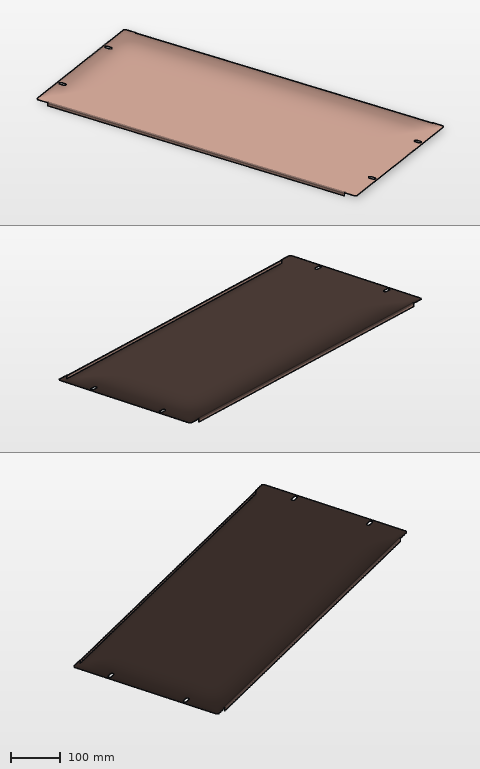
import cadquery as cq

PANEL_LENGTH = 760.0
PANEL_WIDTH = 339.0
PANEL_HEIGHT = 8.0
SHEET_THICKNESS = 0.8
CORNER_CHAMFER = 3.4

FLANGE_LENGTH = 705.0
INNER_BEND_RADIUS = 1.1
OUTER_BEND_RADIUS = INNER_BEND_RADIUS + SHEET_THICKNESS

SLOT_LENGTH = 16.0
SLOT_WIDTH = 7.0
SLOT_SPACING_X = 735.0
SLOT_SPACING_Y = 176.0


def make_plate():
    """Flat sheet with chamfered corners, its top face at Z = 0."""
    return (
        cq.Workplane("XY")
        .workplane(offset=-SHEET_THICKNESS)
        .rect(PANEL_LENGTH, PANEL_WIDTH)
        .extrude(SHEET_THICKNESS)
        .edges("|Z")
        .chamfer(CORNER_CHAMFER)
    )


def make_folded_section():
    """Channel with rounded bends: the folded middle length of the sheet."""
    outer = (
        cq.Workplane("XY")
        .box(FLANGE_LENGTH, PANEL_WIDTH, PANEL_HEIGHT, centered=(True, True, False))
        .translate((0, 0, -PANEL_HEIGHT))
        .edges("|X and >Z")
        .fillet(OUTER_BEND_RADIUS)
    )
    inner_width = PANEL_WIDTH - 2 * SHEET_THICKNESS
    inner_height = PANEL_HEIGHT - SHEET_THICKNESS
    inner = (
        cq.Workplane("XY")
        .box(FLANGE_LENGTH, inner_width, inner_height, centered=(True, True, False))
        .translate((0, 0, -PANEL_HEIGHT))
        .edges("|X and >Z")
        .fillet(INNER_BEND_RADIUS)
    )
    return outer.cut(inner)


def make_end_tabs():
    """The two flat ends of the sheet that project beyond the flanges."""
    middle = cq.Workplane("XY").box(FLANGE_LENGTH, PANEL_WIDTH, 2 * PANEL_HEIGHT)
    return make_plate().cut(middle)


def make_slots():
    """Four through slots, two at each end."""
    return (
        cq.Workplane("XY")
        .rarray(SLOT_SPACING_X, SLOT_SPACING_Y, 2, 2)
        .slot2D(SLOT_LENGTH, SLOT_WIDTH)
        .extrude(-SHEET_THICKNESS)
    )


result = make_folded_section().union(make_end_tabs()).cut(make_slots())